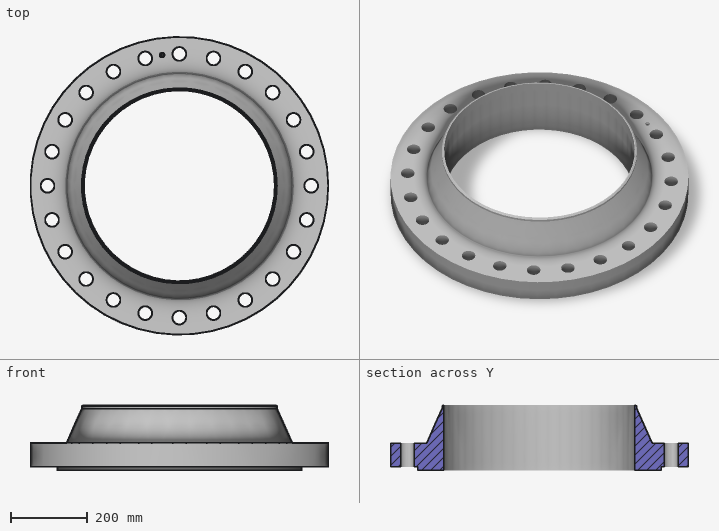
import cadquery as cq
import math

flange_diameter = 775.0
flange_thickness = 62.0
face_diameter = 636.0
face_height = 9.5
total_height = 170.05

hub_base_diameter = 587.5
hub_fillet_radius = 3.0
neck_diameter = 508.0
neck_length = 9.0
bore_diameter = 496.0
bevel_angle = 37.5
land_width = 2.0

bolt_count = 24
bolt_circle_diameter = 685.8
bolt_hole_diameter = 35.0

small_hole_diameter = 12.4
small_hole_step_depth = 3.0
small_hole_pilot_diameter = 7.0
small_hole_depth = 15.0

flange_top = face_height + flange_thickness
bolt_spacing = 360.0 / bolt_count
small_hole_angle = 90.0 + bolt_spacing / 2


def bolt_circle_point(angle):
    """Point on the bolt circle at an angle in degrees from +X."""
    radius = bolt_circle_diameter / 2
    turn = math.radians(angle)
    return radius * math.cos(turn), radius * math.sin(turn)


def make_body():
    """Revolved ring: raised face, flange plate, tapered hub, bevelled neck and bore."""
    bore_radius = bore_diameter / 2
    neck_radius = neck_diameter / 2
    land_radius = bore_radius + land_width
    bevel_height = (neck_radius - land_radius) * math.tan(math.radians(bevel_angle))
    profile = [
        (bore_radius, 0),
        (face_diameter / 2, 0),
        (face_diameter / 2, face_height),
        (flange_diameter / 2, face_height),
        (flange_diameter / 2, flange_top),
        (hub_base_diameter / 2, flange_top),
        (neck_radius, total_height - neck_length),
        (neck_radius, total_height - bevel_height),
        (land_radius, total_height),
        (bore_radius, total_height),
    ]
    return cq.Workplane("XZ").polyline(profile).close().revolve(360, (0, 0, 0), (0, 1, 0))


def fillet_hub_base(body):
    """Round the inner corner where the hub meets the plate: the smaller circle at plate level."""
    reach = flange_diameter
    tolerance = 0.1
    plate_level = cq.selectors.BoxSelector(
        (-reach, -reach, flange_top - tolerance),
        (reach, reach, flange_top + tolerance),
    )
    hub_edge = body.edges(plate_level).edges(cq.selectors.RadiusNthSelector(0))
    return hub_edge.fillet(hub_fillet_radius)


def make_bolt_holes():
    """Through holes spaced evenly on the bolt circle."""
    centres = [bolt_circle_point(i * bolt_spacing) for i in range(bolt_count)]
    return cq.Workplane("XY").pushPoints(centres).circle(bolt_hole_diameter / 2).extrude(flange_top)


def make_small_hole():
    """Shallow wide step with a narrower blind hole below it, sunk from the top of the plate."""
    mouth = cq.Workplane("XY", origin=(*bolt_circle_point(small_hole_angle), flange_top))
    step = mouth.circle(small_hole_diameter / 2).extrude(-small_hole_step_depth)
    pilot = mouth.circle(small_hole_pilot_diameter / 2).extrude(-small_hole_depth)
    return step.union(pilot)


result = fillet_hub_base(make_body())
result = result.cut(make_bolt_holes())
result = result.cut(make_small_hole())